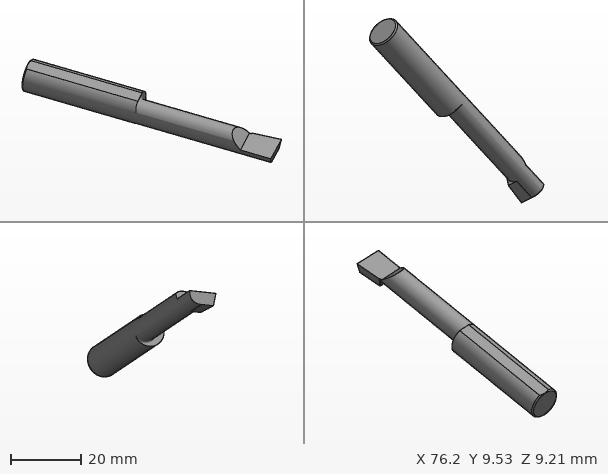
import cadquery as cq
import math

overall_length = 76.2
shank_diameter = 9.525
shank_height = 9.21
shank_length = 34.3
back_chamfer = 0.4

neck_diameter = 7.18
neck_offset = -1.41
neck_fillet = 0.6

tip_length = 9.4
ramp_angle = 45.0
front_relief = 8.0
end_skew = 1.5
side_relief = 8.0
flank_start_x = 67.7
flank_start_y = 2.5
cutting_corner_y = 3.25
flank_lead_in = 0.4

shank_radius = shank_diameter / 2
neck_radius = neck_diameter / 2
trim_allowance = 2.0
tip_start_x = overall_length - tip_length


def rod(radius, x_start, x_end):
    """Cylinder on the bar axis between two X positions."""
    return cq.Workplane("YZ", origin=(x_start, 0, 0)).circle(radius).extrude(x_end - x_start)


def make_shank():
    """Round shank with a back chamfer and a clamping flat on top."""
    flat_z = shank_height - shank_radius
    shank = rod(shank_radius, 0, shank_length).faces("<X").chamfer(back_chamfer)
    above_flat = (
        cq.Workplane("XY", origin=(0, 0, flat_z))
        .rect(2 * shank_length, shank_diameter)
        .extrude(shank_radius)
    )
    return shank.cut(above_flat)


def make_neck():
    """Eccentric neck that flares into the shank shoulder with a fillet."""
    fillet_end_x = shank_length + neck_fillet
    outer_radius = neck_radius + neck_fillet
    neck = (
        cq.Workplane("XY", origin=(0, neck_offset, 0))
        .moveTo(shank_length, 0)
        .lineTo(shank_length, outer_radius)
        .radiusArc((fillet_end_x, neck_radius), -neck_fillet)
        .lineTo(overall_length, neck_radius)
        .lineTo(overall_length, 0)
        .close()
        .revolve(360, (0, 0, 0), (1, 0, 0))
    )
    return neck.intersect(rod(shank_radius, shank_length, overall_length))


def make_flank():
    """Wedge behind the cutting face that widens toward the cutting corner."""
    lead_in_x = flank_start_x - flank_lead_in
    slope = (cutting_corner_y - flank_start_y) / (overall_length - flank_start_x)
    stock_end_x = overall_length + trim_allowance
    outline = [
        (lead_in_x, neck_offset),
        (lead_in_x, neck_offset + neck_radius),
        (flank_start_x, flank_start_y),
        (stock_end_x, cutting_corner_y + slope * trim_allowance),
        (stock_end_x, neck_offset),
    ]
    return cq.Workplane("XY").polyline(outline).close().extrude(-neck_radius, taper=side_relief)


def make_top_relief():
    """Material above the cutting face and the ramp leading down to it."""
    ramp_run = shank_radius / math.tan(math.radians(ramp_angle))
    return (
        cq.Workplane("XZ")
        .moveTo(tip_start_x, 0)
        .lineTo(overall_length, 0)
        .lineTo(overall_length, shank_radius)
        .lineTo(tip_start_x - ramp_run, shank_radius)
        .close()
        .extrude(shank_radius, both=True)
    )


def make_front_relief():
    """Cutter that leans and skews the end face back from the cutting corner."""
    clear_x = overall_length + 2 * trim_allowance
    setback = shank_radius * math.tan(math.radians(front_relief))
    return (
        cq.Workplane("XZ")
        .moveTo(overall_length, 0)
        .lineTo(clear_x, 0)
        .lineTo(clear_x, -shank_radius)
        .lineTo(overall_length - setback, -shank_radius)
        .close()
        .extrude(shank_diameter, both=True)
        .rotate(
            (overall_length, cutting_corner_y, 0),
            (overall_length, cutting_corner_y, 1),
            -end_skew,
        )
    )


bar = make_shank().union(make_neck()).union(make_flank())
result = bar.cut(make_top_relief()).cut(make_front_relief())